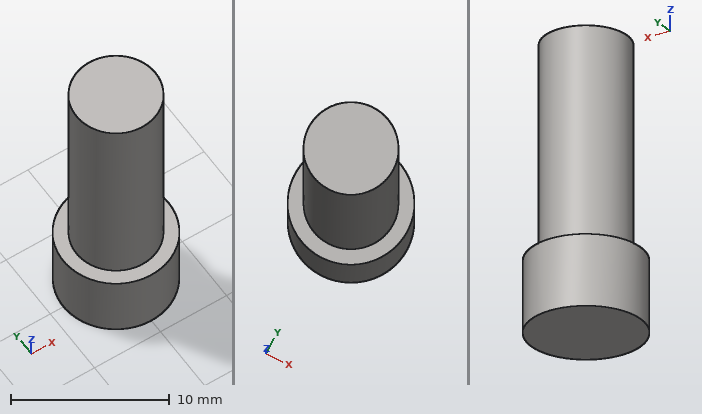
import cadquery as cq

overall_length = 20.0
head_diameter = 8.0
head_height = 5.0
shank_diameter = 6.0

shank_length = overall_length - head_height


def make_head():
    """Plain cylindrical head standing on the XY plane."""
    return cq.Workplane("XY").circle(head_diameter / 2).extrude(head_height)


def add_shank(head):
    """Smooth shank rising from the centre of the head's top face."""
    return head.faces(">Z").workplane().circle(shank_diameter / 2).extrude(shank_length)


result = add_shank(make_head())